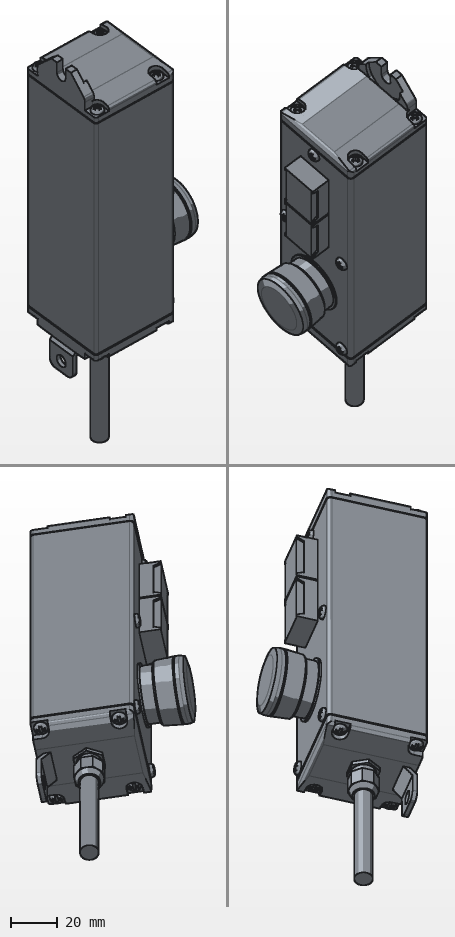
import cadquery as cq
import math

WIDTH = 45.0
DEPTH = 45.0
HEIGHT = 141.6
BACK_EDGE_RADIUS = 1.3
FRONT_EDGE_RADIUS = 2.0
CROWN_FLAT = 20.3
CROWN_DROP = 1.3
RIM_RADIUS = 1.5
CAP_HEIGHT = 6.5
LOWER_JOINT_GAP = 0.5
UPPER_JOINT_GAP = 0.2
JOINT_DEPTH = 0.2

EMBED = 1.0
OVERSHOOT = 2.2

SCREW_RADIUS = 3.0
SCREW_HEIGHT = 2.0
SCREW_ROUND = 1.7
CROSS_LENGTH = 3.7
CROSS_WIDTH = 1.0
CROSS_DEPTH = 0.9

POCKET_DEPTH = 3.3
POCKET_RADIUS = 3.5
FRONT_CAP_SCREW = (18.3, 38.1)
BACK_CAP_SCREW = (19.0, 4.1)

FRONT_SCREW_X = 17.5
FRONT_SCREW_INSET = 10.2

EAR_TOP = 153.6
EAR_HALF_WIDTH = BACK_CAP_SCREW[0] - POCKET_RADIUS
EAR_THICKNESS = 5.2
EAR_SEAT_THICKNESS = 3.5
EAR_SLOPE = 9.2
EAR_SHOULDER_RADIUS = 3.3
EAR_SLOT_WIDTH = 5.7
EAR_SLOT_DEPTH = 8.3
EAR_SEAT_RADIUS = 10.7

BRACKET_WIDTH = 15.3
BRACKET_THICKNESS = 2.2
BRACKET_LENGTH = 16.5
BRACKET_CRANK = 3.3
BRACKET_CORNER = 3.7
BRACKET_HOLE_DIAMETER = 5.9
BRACKET_HOLE_DROP = 10.5

CABLE_Y = 21.8
CABLE_DIAMETER = 8.0
CABLE_LENGTH = 64.3
GLAND_FLATS = 12.6
GLAND_FLANGE_END = 2.0
GLAND_COLLAR_RADIUS = 5.7
GLAND_NUT_START = 5.0
GLAND_NUT_END = 12.5
GLAND_END = 15.0
GLAND_END_RADIUS = 4.8
NUT_SIDES = 8
FLANGE_SIDES = 6

ROCKER_WIDTH = 17.6
ROCKER_HEIGHT = 23.5
ROCKER_GAP = 0.9
ROCKER_BOTTOM = 73.9
ROCKER_FRONT = 54.5
ROCKER_RECESS_REACH = 3.3
ROCKER_RECESS_DEPTH = 0.9
ROCKER_END_WALL = 1.0
ROCKER_RECESS_TAPER = 1.5

BUTTON_Z = 40.7
BUTTON_FRONT = 66.0
BUTTON_FACE_RADIUS = 11.1
BUTTON_SHOULDER_RADIUS = 14.4
BUTTON_SHOULDER_FRONT = 65.2
BUTTON_SHOULDER_BACK = 63.2
BUTTON_HEAD_RADIUS = 14.8
BUTTON_GROOVE_Y = 60.5
BUTTON_GROOVE_WIDTH = 0.7
BUTTON_GROOVE_DEPTH = 0.5
BUTTON_HEAD_BACK_RADIUS = 14.2
BUTTON_HEAD_BACK = 52.3
BUTTON_HEAD_CHAMFER = 0.9
BUTTON_NECK_RADIUS = 12.6
BUTTON_FLANGE_RADIUS = 14.0
BUTTON_FLANGE_THICKNESS = 0.9


def prism_along_y(outline, y_start, y_end):
    """Extrude an outline lying in XZ from y_start to y_end."""
    return outline.extrude(y_start - y_end).translate((0, y_start, 0))


def box_between(x_range, y_range, z_range):
    """Box filling the given (low, high) range along each axis."""
    ranges = (x_range, y_range, z_range)
    sizes = [high - low for low, high in ranges]
    corner = tuple(low for low, high in ranges)
    return cq.Workplane("XY").box(*sizes, centered=False).translate(corner)


def make_housing():
    """Rounded tube whose two ends are flat in the middle and curve away to the sides."""
    half = WIDTH / 2
    flat = CROWN_FLAT / 2
    low = CROWN_DROP
    high = HEIGHT - CROWN_DROP
    outline = (
        cq.Workplane("XZ")
        .moveTo(-flat, HEIGHT)
        .lineTo(flat, HEIGHT)
        .tangentArcPoint((half, high), relative=False)
        .lineTo(half, low)
    )
    arc_radius = ((half - flat) ** 2 + CROWN_DROP**2) / (2 * CROWN_DROP)
    outline = (
        outline.radiusArc((flat, 0), arc_radius)
        .lineTo(-flat, 0)
        .radiusArc((-half, low), arc_radius)
        .lineTo(-half, high)
        .radiusArc((-flat, HEIGHT), arc_radius)
        .close()
    )
    crowned = prism_along_y(outline, 0, DEPTH)
    crowned = crowned.edges("|Y and (>X or <X)").fillet(RIM_RADIUS)

    block = box_between((-half, half), (0, DEPTH), (0, HEIGHT))
    rounded_tube = block.edges("|Z and <Y").fillet(BACK_EDGE_RADIUS)
    rounded_tube = rounded_tube.edges("|Z and >Y").fillet(FRONT_EDGE_RADIUS)
    rounded_front = block.edges("|X and >Y").fillet(FRONT_EDGE_RADIUS)
    return crowned.intersect(rounded_tube).intersect(rounded_front)


def make_joint_groove(level, gap):
    """Shallow groove around the housing where a cap meets the tube."""
    blank = cq.Workplane("XY").workplane(offset=level - gap / 2).center(0, DEPTH / 2)
    outer = blank.rect(WIDTH + OVERSHOOT, DEPTH + OVERSHOOT).extrude(gap)
    inner = blank.rect(WIDTH - 2 * JOINT_DEPTH, DEPTH - 2 * JOINT_DEPTH).extrude(gap)
    inner = inner.edges("|Z and <Y").fillet(BACK_EDGE_RADIUS - JOINT_DEPTH)
    inner = inner.edges("|Z and >Y").fillet(FRONT_EDGE_RADIUS - JOINT_DEPTH)
    return outer.cut(inner)


def make_screw():
    """Domed screw head standing on Z = 0, with a shank below it."""
    head = cq.Workplane("XY").circle(SCREW_RADIUS).extrude(SCREW_HEIGHT)
    head = head.faces(">Z").edges().fillet(SCREW_ROUND)
    head = head.union(cq.Workplane("XY").circle(SCREW_RADIUS).extrude(-EMBED))
    recess = cq.Workplane("XY").workplane(offset=SCREW_HEIGHT - CROSS_DEPTH)
    for length, width in ((CROSS_LENGTH, CROSS_WIDTH), (CROSS_WIDTH, CROSS_LENGTH)):
        head = head.cut(recess.rect(length, width).extrude(SCREW_HEIGHT))
    return head


def make_pocket(x, y, reach_back):
    """Corner pocket in the upper cap, open to the side and, if asked, to the back."""
    floor = HEIGHT - POCKET_DEPTH
    top = HEIGHT + OVERSHOOT
    pocket = cq.Workplane("XY").workplane(offset=floor).center(x, y)
    pocket = pocket.circle(POCKET_RADIUS).extrude(top - floor)
    pocket = pocket.union(box_between((x, WIDTH), (y - POCKET_RADIUS, y + POCKET_RADIUS), (floor, top)))
    if reach_back:
        pocket = pocket.union(box_between((x - POCKET_RADIUS, WIDTH), (-OVERSHOOT, y), (floor, top)))
    return pocket


def in_cap_corners(feature):
    """Repeat a feature of the upper right corner at both sides of both caps."""
    pair = feature.union(feature.mirror("YZ"))
    return pair.union(pair.mirror("XY", (0, 0, HEIGHT / 2)))


def make_ear():
    """Flat ear with sloped shoulders rising from the upper cap."""
    half_top = EAR_HALF_WIDTH - EAR_SLOPE
    shoulder = EAR_TOP - EAR_SLOPE
    foot = HEIGHT - POCKET_DEPTH
    outline = cq.Workplane("XZ").polyline(
        [
            (-EAR_HALF_WIDTH, foot),
            (-EAR_HALF_WIDTH, shoulder),
            (-half_top, EAR_TOP),
            (half_top, EAR_TOP),
            (EAR_HALF_WIDTH, shoulder),
            (EAR_HALF_WIDTH, foot),
        ]
    ).close()
    ear = prism_along_y(outline, 0, EAR_THICKNESS)
    middle_band = cq.selectors.BoxSelector((-WIDTH, 0, HEIGHT), (WIDTH, DEPTH, shoulder + EAR_SLOPE / 2))
    return ear.edges("|Y").edges(middle_band).fillet(EAR_SHOULDER_RADIUS)


def make_ear_cutouts():
    """Open slot through the ear and the round washer seat in its front face."""
    slot_half = EAR_SLOT_WIDTH / 2
    slot_centre = EAR_TOP - EAR_SLOT_DEPTH + slot_half
    centre = cq.Workplane("XZ").center(0, slot_centre)
    slot = prism_along_y(centre.circle(slot_half), -OVERSHOOT, EAR_THICKNESS + OVERSHOOT)
    slot = slot.union(
        box_between(
            (-slot_half, slot_half),
            (-OVERSHOOT, EAR_THICKNESS + OVERSHOOT),
            (slot_centre, EAR_TOP + OVERSHOOT),
        )
    )
    seat = prism_along_y(centre.circle(EAR_SEAT_RADIUS), EAR_SEAT_THICKNESS, EAR_THICKNESS)
    return slot.union(seat)


def make_bracket():
    """Strip that leaves the lower cap at 45 degrees and turns down along the back plane."""
    rise = BRACKET_CRANK + EMBED
    bend = BRACKET_THICKNESS * math.tan(math.pi / 8)
    profile = cq.Workplane("YZ").polyline(
        [
            (0, -BRACKET_LENGTH),
            (0, -BRACKET_CRANK),
            (rise, EMBED),
            (rise + BRACKET_THICKNESS + bend, EMBED),
            (BRACKET_THICKNESS, -BRACKET_CRANK - bend),
            (BRACKET_THICKNESS, -BRACKET_LENGTH),
        ]
    ).close()
    bracket = profile.extrude(BRACKET_WIDTH / 2, both=True)
    bracket = bracket.edges("|Y and <Z").fillet(BRACKET_CORNER)
    hole = cq.Workplane("XZ").center(0, -BRACKET_HOLE_DROP).circle(BRACKET_HOLE_DIAMETER / 2)
    return bracket.cut(prism_along_y(hole, -OVERSHOOT, BRACKET_THICKNESS + OVERSHOOT))


def make_gland_polygon(sides, z_start, z_end):
    """Regular prism with GLAND_FLATS across its flats."""
    corner_diameter = GLAND_FLATS / math.cos(math.pi / sides)
    base = cq.Workplane("XY").workplane(offset=z_start)
    return base.polygon(sides, corner_diameter).extrude(z_end - z_start)


def make_cable_and_gland():
    """Cable hanging from a gland made of flange, collar, nut and tapered tip."""
    cable = cq.Workplane("XY").circle(CABLE_DIAMETER / 2).extrude(-CABLE_LENGTH)
    collar = cq.Workplane("XY").circle(GLAND_COLLAR_RADIUS).extrude(-GLAND_NUT_START)
    tip = (
        cq.Workplane("XY")
        .workplane(offset=-GLAND_NUT_END)
        .circle(GLAND_FLATS / 2)
        .workplane(offset=GLAND_NUT_END - GLAND_END)
        .circle(GLAND_END_RADIUS)
        .loft()
    )
    flange = make_gland_polygon(FLANGE_SIDES, -GLAND_FLANGE_END, EMBED)
    nut = make_gland_polygon(NUT_SIDES, -GLAND_NUT_END, -GLAND_NUT_START)
    nut = nut.rotate((0, 0, 0), (0, 0, 1), 180 / NUT_SIDES)
    assembly = cable.union(collar).union(flange).union(nut).union(tip)
    return assembly.translate((0, CABLE_Y, 0))


def make_rocker(bottom):
    """Rocker block with a shallow tapered recess in each side, open to the front."""
    half = ROCKER_WIDTH / 2
    top = bottom + ROCKER_HEIGHT
    block = box_between((-half, half), (DEPTH - EMBED, ROCKER_FRONT), (bottom, top))
    recess_back = ROCKER_FRONT - ROCKER_RECESS_REACH
    back_inset = ROCKER_END_WALL + ROCKER_RECESS_TAPER
    recess = (
        cq.Workplane("YZ")
        .workplane(offset=half - ROCKER_RECESS_DEPTH)
        .moveTo(ROCKER_FRONT, bottom + ROCKER_END_WALL)
        .lineTo(recess_back, bottom + back_inset)
        .lineTo(recess_back, top - back_inset)
        .lineTo(ROCKER_FRONT, top - ROCKER_END_WALL)
        .close()
        .extrude(ROCKER_RECESS_DEPTH)
    )
    return block.cut(recess).cut(recess.mirror("YZ"))


def make_button():
    """Push button turned about an axis along Y."""
    groove_floor = BUTTON_HEAD_RADIUS - BUTTON_GROOVE_DEPTH
    profile = (
        cq.Workplane("XY")
        .moveTo(0, DEPTH - EMBED)
        .lineTo(BUTTON_FLANGE_RADIUS, DEPTH - EMBED)
        .lineTo(BUTTON_FLANGE_RADIUS, DEPTH + BUTTON_FLANGE_THICKNESS)
        .lineTo(BUTTON_NECK_RADIUS, DEPTH + BUTTON_FLANGE_THICKNESS)
        .lineTo(BUTTON_NECK_RADIUS, BUTTON_HEAD_BACK - BUTTON_HEAD_CHAMFER)
        .lineTo(BUTTON_HEAD_BACK_RADIUS - BUTTON_HEAD_CHAMFER, BUTTON_HEAD_BACK - BUTTON_HEAD_CHAMFER)
        .lineTo(BUTTON_HEAD_BACK_RADIUS, BUTTON_HEAD_BACK)
        .lineTo(BUTTON_HEAD_RADIUS, BUTTON_GROOVE_Y)
        .lineTo(groove_floor, BUTTON_GROOVE_Y)
        .lineTo(groove_floor, BUTTON_GROOVE_Y + BUTTON_GROOVE_WIDTH)
        .lineTo(BUTTON_HEAD_RADIUS, BUTTON_GROOVE_Y + BUTTON_GROOVE_WIDTH)
        .lineTo(BUTTON_HEAD_RADIUS, BUTTON_SHOULDER_BACK)
        .lineTo(BUTTON_SHOULDER_RADIUS, BUTTON_SHOULDER_FRONT)
        .lineTo(BUTTON_FACE_RADIUS, BUTTON_FRONT)
        .lineTo(0, BUTTON_FRONT)
        .close()
    )
    return profile.revolve(360, (0, 0, 0), (0, 1, 0)).translate((0, 0, BUTTON_Z))


result = make_housing()
result = result.cut(make_joint_groove(CAP_HEIGHT, LOWER_JOINT_GAP))
result = result.cut(make_joint_groove(HEIGHT - CAP_HEIGHT, UPPER_JOINT_GAP))
result = result.union(make_ear()).cut(make_ear_cutouts())

for (screw_x, screw_y), opens_back in ((FRONT_CAP_SCREW, False), (BACK_CAP_SCREW, True)):
    cap_screw = make_screw().translate((screw_x, screw_y, HEIGHT - POCKET_DEPTH))
    result = result.cut(in_cap_corners(make_pocket(screw_x, screw_y, opens_back)))
    result = result.union(in_cap_corners(cap_screw))

front_screw = make_screw().rotate((0, 0, 0), (1, 0, 0), -90)
for screw_x, screw_z in (
    (-FRONT_SCREW_X, FRONT_SCREW_INSET),
    (FRONT_SCREW_X, FRONT_SCREW_INSET),
    (-FRONT_SCREW_X, HEIGHT / 2),
    (FRONT_SCREW_X, HEIGHT / 2),
    (0, HEIGHT - FRONT_SCREW_INSET),
):
    result = result.union(front_screw.translate((screw_x, DEPTH, screw_z)))

for index in range(2):
    result = result.union(make_rocker(ROCKER_BOTTOM + index * (ROCKER_HEIGHT + ROCKER_GAP)))
result = result.union(make_button())

result = result.union(make_bracket()).union(make_cable_and_gland())